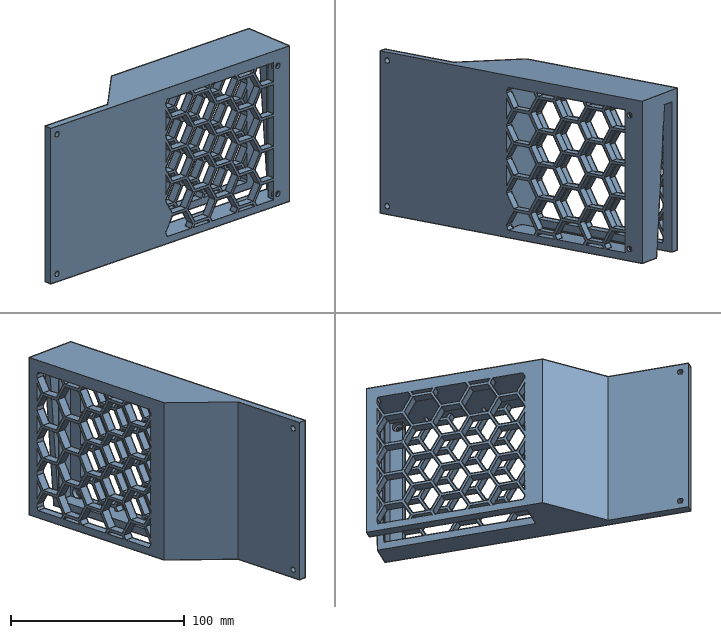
import cadquery as cq
import math

depth = 35.0
length = 185.01
height = 97.0

tab_thickness = 5.0
tab_length = 48.5
box_start = tab_length + depth - tab_thickness

grille_thickness = 5.5
rear_thickness = 5.0
end_wall = 4.7
floor_thickness = 4.5
ceiling_thickness = 7.1
cavity_start = 89.3
rear_face = depth - rear_thickness
cavity_top = height - ceiling_thickness

pocket_depth = 20.3
pocket_lip = 0.7

slot_angle = 5.0
slot_depth_at_floor = 20.7

cell_pitch = 20.0
cell_wall = 1.7
half_corner_angle = math.radians(30)
column_pitch = cell_pitch * math.cos(half_corner_angle)
cell_corner_diameter = (cell_pitch - cell_wall) / math.cos(half_corner_angle)
honeycomb_y = 151.5
honeycomb_z = 47.1
columns = range(-4, 4)
rows = range(-3, 4)
uncut_rear_cell = (-4, -2)
grille_end = length - 6.3
rear_panel_end = length - 12.3

screw_diameter = 3.2
head_diameter = 6.0
head_depth = 3.0
rear_hole_y = length - 9.1
rear_hole_bottom_z = 7.3
rear_hole_spacing = 79.8
tab_hole_inset = 5.0


def block(x_range, y_range, z_range):
    """Box spanning the given coordinate ranges."""
    sizes = [high - low for low, high in (x_range, y_range, z_range)]
    corner = (x_range[0], y_range[0], z_range[0])
    return cq.Workplane("XY").box(*sizes, centered=False).translate(corner)


def body():
    """Solid outer shape: the side profile extruded over the full height."""
    profile = [
        (depth, 0),
        (depth - tab_thickness, 0),
        (depth - tab_thickness, tab_length),
        (0, box_start),
        (0, length),
        (depth, length),
    ]
    return cq.Workplane("XY").polyline(profile).close().extrude(height)


def cavity():
    """Hollow between grille and rear panel, with its stepped front pocket."""
    main = block(
        (grille_thickness, rear_face),
        (cavity_start, length - end_wall),
        (floor_thickness, cavity_top),
    )
    pocket = block(
        (grille_thickness, pocket_depth),
        (cavity_start, length - end_wall + pocket_lip),
        (floor_thickness - pocket_lip, cavity_top),
    )
    return main.union(pocket)


def slot():
    """Tapered slot through the floor and the end wall."""
    depth_at_top = slot_depth_at_floor - cavity_top * math.tan(math.radians(slot_angle))
    outline = [
        (grille_thickness, 0),
        (slot_depth_at_floor, 0),
        (depth_at_top, cavity_top),
        (grille_thickness, cavity_top),
    ]
    prism = cq.Workplane("XZ").polyline(outline).close().extrude(cavity_start - length)
    return prism.translate((0, cavity_start, 0))


def honeycomb(x_range, y_end, uncut_cell=None):
    """Hexagonal openings through one panel, trimmed to its rectangular window."""
    centers = []
    for column in columns:
        rise = 0 if column % 2 else cell_pitch / 2
        for row in rows:
            if (column, row) != uncut_cell:
                y = honeycomb_y + column * column_pitch
                z = honeycomb_z + row * cell_pitch + rise
                centers.append((y, z))
    cells = cq.Workplane("YZ").pushPoints(centers).polygon(6, cell_corner_diameter).extrude(depth)
    window = block(x_range, (cavity_start, y_end), (floor_thickness, cavity_top))
    return cells.intersect(window)


def drill(centers, diameter, x_start, hole_depth):
    """Round holes along X starting at x_start."""
    plane = cq.Workplane("YZ", origin=(x_start, 0, 0))
    return plane.pushPoints(centers).circle(diameter / 2).extrude(hole_depth)


rear_holes = [
    (rear_hole_y, rear_hole_bottom_z),
    (rear_hole_y, rear_hole_bottom_z + rear_hole_spacing),
]
tab_holes = [
    (tab_hole_inset, tab_hole_inset),
    (tab_hole_inset, height - tab_hole_inset),
]

result = body().cut(cavity()).cut(slot())
result = result.cut(honeycomb((0, grille_thickness), grille_end))
result = result.cut(honeycomb((rear_face, depth), rear_panel_end, uncut_rear_cell))
result = result.cut(drill(rear_holes, screw_diameter, rear_face, rear_thickness))
result = result.cut(drill(rear_holes, head_diameter, rear_face, head_depth))
result = result.cut(drill(tab_holes, screw_diameter, depth - tab_thickness, tab_thickness))